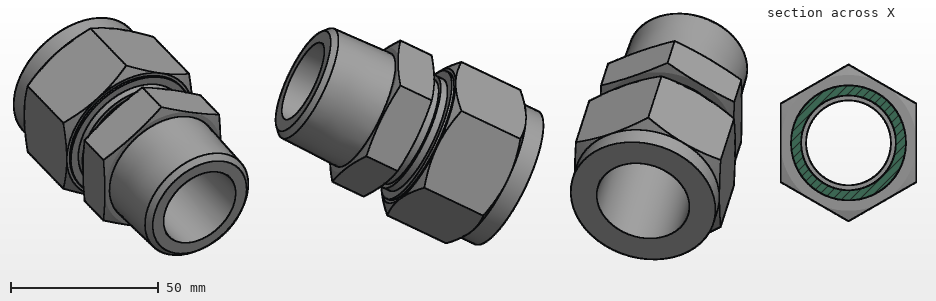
import cadquery as cq
import math

COLLAR_END = 6.85
NUT_END = 34.4
WASHER_END = 35.3
SHOULDER_END = 37.9
BODY_HEX_START = 41.6
BODY_HEX_END = 55.8
THREAD_START = 56.8
TOTAL_LENGTH = 79.6

HEX_SIDES = 6
NUT_ACROSS_FLATS = 50.0
NUT_CHAMFER_ANGLE = 30.0
BODY_ACROSS_FLATS = 46.0
BODY_CHAMFER_ANGLE = 15.0
CORNER_TO_Z_ANGLE = 90.0

WASHER_DIAMETER = 47.75
SHOULDER_DIAMETER = 41.95
NECK_DIAMETER = 39.0
THREAD_DIAMETER = 42.4
THREAD_TAPER = 1 / 16
END_CHAMFER = 1.9

SOCKET_DIAMETER = 32.0
BORE_DIAMETER = 28.65
SOCKET_DEPTH = BODY_HEX_START


def turned(profile):
    """Solid of revolution about X from (x, radius) points."""
    return cq.Workplane("XZ").polyline(profile).close().revolve(360, (0, 0, 0), (1, 0, 0))


def cylinder(start, end, diameter):
    """Cylinder on the X axis between two stations."""
    radius = diameter / 2
    return turned([(start, 0), (start, radius), (end, radius), (end, 0)])


def chamfered_hex(start, end, across_flats, chamfer_angle):
    """Hexagon whose corners are cut by a cone at each end, down to the flats."""
    length = end - start
    across_corners = across_flats / math.cos(math.pi / HEX_SIDES)
    prism = (
        cq.Workplane("YZ", origin=(start, 0, 0))
        .polygon(HEX_SIDES, across_corners)
        .extrude(length)
        .rotate((0, 0, 0), (1, 0, 0), CORNER_TO_Z_ANGLE)
    )
    flat_radius = across_flats / 2
    middle = (start + end) / 2
    middle_radius = flat_radius + length / 2 / math.tan(math.radians(chamfer_angle))
    envelope = turned([
        (start, 0),
        (start, flat_radius),
        (middle, middle_radius),
        (end, flat_radius),
        (end, 0),
    ])
    return prism.intersect(envelope)


def tapered_thread():
    """Smooth tapered end with a short cylindrical run-out and a 45 degree end chamfer."""
    large_radius = THREAD_DIAMETER / 2
    chamfer_start = TOTAL_LENGTH - END_CHAMFER
    small_radius = large_radius - (chamfer_start - THREAD_START) * THREAD_TAPER / 2
    return turned([
        (BODY_HEX_END, 0),
        (BODY_HEX_END, large_radius),
        (THREAD_START, large_radius),
        (chamfer_start, small_radius),
        (TOTAL_LENGTH, small_radius - END_CHAMFER),
        (TOTAL_LENGTH, 0),
    ])


nut = (
    cylinder(0, COLLAR_END, NUT_ACROSS_FLATS)
    .union(chamfered_hex(COLLAR_END, NUT_END, NUT_ACROSS_FLATS, NUT_CHAMFER_ANGLE))
    .union(cylinder(NUT_END, WASHER_END, WASHER_DIAMETER))
)

body = (
    cylinder(WASHER_END, SHOULDER_END, SHOULDER_DIAMETER)
    .union(cylinder(SHOULDER_END, BODY_HEX_START, NECK_DIAMETER))
    .union(chamfered_hex(BODY_HEX_START, BODY_HEX_END, BODY_ACROSS_FLATS, BODY_CHAMFER_ANGLE))
    .union(tapered_thread())
)

socket = cylinder(0, SOCKET_DEPTH, SOCKET_DIAMETER)
bore = cylinder(0, TOTAL_LENGTH, BORE_DIAMETER)

result = nut.union(body).cut(socket).cut(bore)